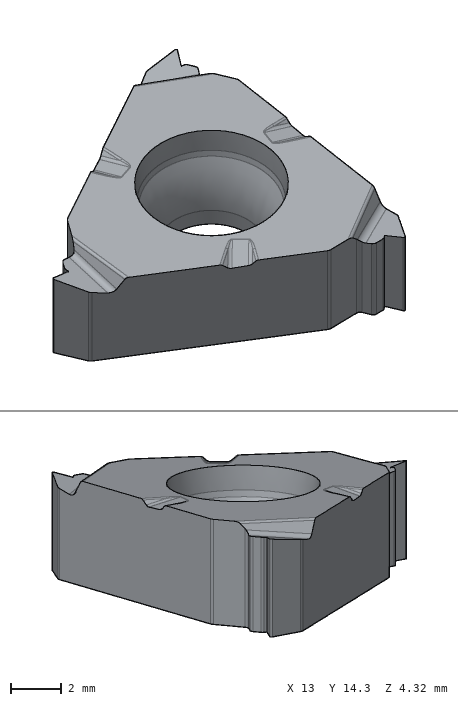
import cadquery as cq
import math

CORNER_ANGLES = (0, 120, 240)
height = 4.32
inradius = 4.77
cutter_reach = 5.71

flank_along_side = 5.86
heel_along_side = 3.87
tip_edge_y = -0.21
shoulder_edge_y = -0.84
step_x = 7.38
shoulder_x = 7.16
bulge_y = -0.4
flank_radius = 0.29
tip_radius = 0.064
bulge_radius = 0.14
shoulder_radius = 0.2
root_radius = 0.23
heel_radius = 0.29

rake_angle = 11
rake_drop_at_tip = 0.29
wall_angle = 60
wall_skew = 2
wall_top_x = 6.26
rake_fillet = 0.31
wall_top_fillet = 0.15

notch_end_x = -3.44
notch_end_y = -0.51
notch_heading = 168
notch_ramp_angle = 10.3
notch_floor_width = 0.84
notch_wall_angle = 40
notch_cutter_depth = 1.14
notch_floor_fillet = 0.25
notch_rim_fillet = 0.15

hole_diameter = 4.4
mouth_radius = 3.07
cone_end_radius = 2.97
cone_end_depth = 1.0
seat_top_radius = 2.9
seat_top_depth = 1.25
seat_bottom_depth = 3.57


def direction(angle):
    a = math.radians(angle)
    return math.cos(a), math.sin(a)


def turned(x, y, angle):
    c, s = direction(angle)
    return x * c - y * s, x * s + y * c


flank = turned(flank_along_side, inradius, -30)
heel = turned(heel_along_side, -inradius, 30)
edge_slope = math.tan(math.radians(60))
tip = (flank[0] + (flank[1] - tip_edge_y) / edge_slope, tip_edge_y)
step = (step_x, tip_edge_y)
shoulder = (shoulder_x, shoulder_edge_y)
bulge = (shoulder_x + (bulge_y - shoulder_edge_y) / edge_slope, bulge_y)
root = (heel[0] + (shoulder_edge_y - heel[1]) / edge_slope, shoulder_edge_y)

corner = (heel, root, shoulder, bulge, step, tip, flank)
outline = [turned(x, y, angle) for angle in CORNER_ANGLES for x, y in corner]
body = cq.Workplane("XY").polyline(outline).close().extrude(height)

roundings = (
    (heel, heel_radius),
    (root, root_radius),
    (shoulder, shoulder_radius),
    (bulge, bulge_radius),
    (tip, tip_radius),
    (flank, flank_radius),
)
for (x, y), radius in roundings:
    for angle in CORNER_ANGLES:
        edge_middle = (*turned(x, y, angle), height / 2)
        body = body.edges(cq.NearestToPointSelector(edge_middle)).fillet(radius)


def seat_hole():
    """Tapered mouth and a convex arc seat that runs smoothly into the straight bore."""
    bore = hole_diameter / 2
    widening = seat_top_radius - bore
    depth = seat_bottom_depth - seat_top_depth
    arc_angle = 2 * math.atan2(widening, depth)
    arc_radius = depth / math.sin(arc_angle)
    seat_middle = (
        bore + arc_radius * (1 - math.cos(arc_angle / 2)),
        height - seat_bottom_depth + arc_radius * math.sin(arc_angle / 2),
    )
    return (
        cq.Workplane("XZ")
        .lineTo(bore, 0)
        .lineTo(bore, height - seat_bottom_depth)
        .threePointArc(seat_middle, (seat_top_radius, height - seat_top_depth))
        .lineTo(cone_end_radius, height - cone_end_depth)
        .lineTo(mouth_radius, height)
        .lineTo(0, height)
        .close()
        .revolve(360, (0, 0, 0), (0, 1, 0))
    )


body = body.cut(seat_hole())


def rake_cutter():
    """Space above the rake plane and outside the wall plane, with a rounded inner corner."""
    wall_dir = direction(wall_skew)
    side_dir = direction(-30)
    tilt, level = direction(90 - rake_angle)
    rake_plane = cq.Plane(
        (tip[0], tip[1], height - rake_drop_at_tip),
        (-side_dir[1], side_dir[0], 0),
        (-tilt * side_dir[0], -tilt * side_dir[1], level),
    )
    lean, rise = direction(90 - wall_angle)
    wall_plane = cq.Plane(
        (wall_top_x, 0, height),
        (-wall_dir[1], wall_dir[0], 0),
        (lean * wall_dir[0], lean * wall_dir[1], rise),
    )
    size = 2 * cutter_reach
    above_rake = cq.Workplane(rake_plane).rect(size, size).extrude(cutter_reach)
    outside_wall = cq.Workplane(wall_plane).rect(size, size).extrude(cutter_reach)
    inner_corner = (wall_top_x, 0, height - 2 * rake_drop_at_tip)
    cutter = above_rake.intersect(outside_wall)
    return cutter.edges(cq.NearestToPointSelector(inner_corner)).fillet(rake_fillet)


def notch_cutter():
    """Flared channel whose floor descends outward from the top face."""
    heading = direction(notch_heading)
    run, fall = direction(notch_ramp_angle)
    plane = cq.Plane(
        (notch_end_x, notch_end_y, height),
        (-heading[1], heading[0], 0),
        (run * heading[0], run * heading[1], -fall),
    )
    half_floor = notch_floor_width / 2
    half_top = half_floor + notch_cutter_depth / math.tan(math.radians(notch_wall_angle))
    section = [
        (-half_floor, 0),
        (half_floor, 0),
        (half_top, notch_cutter_depth),
        (-half_top, notch_cutter_depth),
    ]
    channel = cq.Workplane(plane).polyline(section).close().extrude(cutter_reach, both=True)
    for side in (-1, 1):
        edge_middle = plane.toWorldCoords((side * half_floor, 0, 0))
        channel = channel.edges(cq.NearestToPointSelector(edge_middle)).fillet(notch_floor_fillet)
    return channel


rake = rake_cutter()
notch_channel = notch_cutter()
for angle in CORNER_ANGLES:
    body = body.cut(rake.rotate((0, 0, 0), (0, 0, 1), angle))
    wall_top = (*turned(wall_top_x, 0, angle), height)
    body = body.edges(cq.NearestToPointSelector(wall_top)).fillet(wall_top_fillet)
for angle in CORNER_ANGLES:
    body = body.cut(notch_channel.rotate((0, 0, 0), (0, 0, 1), angle))
    rim_end = (*turned(notch_end_x, notch_end_y, angle), height)
    body = body.edges(cq.NearestToPointSelector(rim_end)).fillet(notch_rim_fillet)

result = body